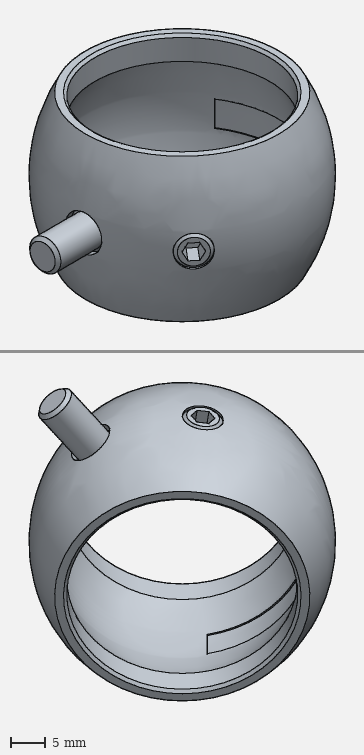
import cadquery as cq
import math

ring_height = 28.0
ring_radius = 22.45
rim_radius = 18.7
bore_radius = 16.9
rim_chamfer = 0.5
land_height = 4.5
cavity_radius = 18.75

panel_height = 4.95
panel_sweep = 52.0
panel_depth = 0.2

pin_angle = -90.0
shank_radius = 3.0
shank_length = 10.0
shank_chamfer = 0.6
base_radius = 3.5
pin_end = 31.4

screw_angle = -45.0
screw_radius = 3.0
screw_length = 6.05
screw_head_chamfer = 0.6
screw_tip_radius = 2.0
socket_flats = 3.0
socket_depth = 3.75

half_height = ring_height / 2
cavity_half_height = half_height - land_height
pin_shoulder = pin_end - shank_length
screw_head = ring_radius
screw_tip = screw_head - screw_length


def revolve_about_z(outline, angle=360.0):
    """Turn a closed XZ outline around the Z axis."""
    return outline.close().revolve(angle, (0, 0), (0, 1))


def radial_solid(angle, profile):
    """Turn (radius, distance from the ring axis) points around a radial axis."""
    turned = (
        cq.Workplane("YX")
        .polyline(profile)
        .close()
        .revolve(360, (0, 0), (0, 1))
    )
    return turned.rotate((0, 0, 0), (0, 0, 1), angle)


def radial_hole(angle, radius):
    """Cutter for a straight hole from the ring axis out through one wall."""
    return radial_solid(
        angle, [(0, 0), (radius, 0), (radius, pin_end), (0, pin_end)]
    )


def make_barrel():
    """Solid barrel with flat rims."""
    outline = (
        cq.Workplane("XZ")
        .moveTo(0, -half_height)
        .lineTo(rim_radius, -half_height)
        .threePointArc((ring_radius, 0), (rim_radius, half_height))
        .lineTo(0, half_height)
    )
    return revolve_about_z(outline)


def make_bore():
    """Inner space: chamfered straight lands with the bulged cavity between them."""
    mouth_radius = bore_radius + rim_chamfer
    chamfer_level = half_height - rim_chamfer
    outline = (
        cq.Workplane("XZ")
        .moveTo(0, -half_height)
        .lineTo(mouth_radius, -half_height)
        .lineTo(bore_radius, -chamfer_level)
        .lineTo(bore_radius, -cavity_half_height)
        .threePointArc((cavity_radius, 0), (bore_radius, cavity_half_height))
        .lineTo(bore_radius, chamfer_level)
        .lineTo(mouth_radius, half_height)
        .lineTo(0, half_height)
    )
    return revolve_about_z(outline)


def make_label_recess():
    """Recess whose floor follows the cavity wall at a constant depth."""
    bulge = cavity_radius - bore_radius
    wall_arc_radius = (cavity_half_height ** 2 + bulge ** 2) / (2 * bulge)
    floor_arc_radius = wall_arc_radius + panel_depth
    half_panel = panel_height / 2
    floor_radius = cavity_radius + panel_depth
    floor_drop = floor_arc_radius - math.sqrt(floor_arc_radius ** 2 - half_panel ** 2)
    edge_radius = floor_radius - floor_drop
    outline = (
        cq.Workplane("XZ")
        .moveTo(bore_radius, -half_panel)
        .lineTo(edge_radius, -half_panel)
        .threePointArc((floor_radius, 0), (edge_radius, half_panel))
        .lineTo(bore_radius, half_panel)
    )
    recess = revolve_about_z(outline, panel_sweep)
    return recess.rotate((0, 0, 0), (0, 0, 1), 90 - panel_sweep / 2)


def make_ring():
    """Barrel shell with the label recess and the holes for the pin and the screw."""
    return (
        make_barrel()
        .cut(make_bore())
        .cut(make_label_recess())
        .cut(radial_hole(pin_angle, base_radius))
        .cut(radial_hole(screw_angle, screw_radius))
    )


def make_pin():
    """Base that fills its hole, with a conical shoulder down to the chamfered shank."""
    shoulder_height = base_radius - shank_radius
    return radial_solid(
        pin_angle,
        [
            (0, cavity_radius),
            (base_radius, cavity_radius),
            (base_radius, pin_shoulder - shoulder_height),
            (shank_radius, pin_shoulder),
            (shank_radius, pin_end - shank_chamfer),
            (shank_radius - shank_chamfer, pin_end),
            (0, pin_end),
        ],
    )


def make_screw():
    """Headless screw with both ends chamfered and a hexagon socket, flats up and down."""
    tip_chamfer = screw_radius - screw_tip_radius
    socket_corners = socket_flats / math.cos(math.pi / 6)
    body = radial_solid(
        screw_angle,
        [
            (0, screw_tip),
            (screw_tip_radius, screw_tip),
            (screw_radius, screw_tip + tip_chamfer),
            (screw_radius, screw_head - screw_head_chamfer),
            (screw_radius - screw_head_chamfer, screw_head),
            (0, screw_head),
        ],
    )
    socket = (
        cq.Workplane("YZ", origin=(screw_head, 0, 0))
        .polygon(6, socket_corners)
        .extrude(-socket_depth)
        .rotate((0, 0, 0), (0, 0, 1), screw_angle)
    )
    return body.cut(socket)


ring = make_ring()
pin = make_pin()
screw = make_screw()
result = cq.Compound.makeCompound([ring.val(), pin.val(), screw.val()])